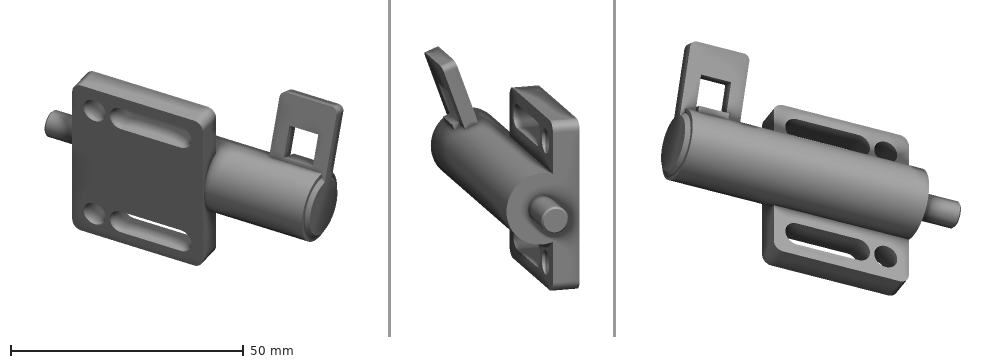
import cadquery as cq


barrel_radius = 8.0
barrel_length = 56.0
plate_length = 32.0
plate_height = 38.0
plate_thickness = 6.0
plate_front_y = -8.5
plate_corner_radius = 2.2
hole_diameter = 5.4
hole_x = 5.5
hole_z = 13.55
slot_start_x = 9.25
slot_end_x = 29.3

pin_radius = 3.0
pin_reach = 10.0
pin_chamfer = 0.4
bolt_end_x = 57.0
core_radius = 7.0
core_chamfer = 0.75

lever_tilt = 20
lever_width = 14.0
lever_thickness = 3.2
lever_tip_height = 23.0
lever_corner_radius = 1.4
lever_start_x = bolt_end_x - lever_width
window_width = 7.1
window_start_x = lever_start_x + (lever_width - window_width) / 2
window_bottom = 8.65
window_height = 7.4
foot_back_y = 3.2


def x_cylinder(radius, start_x, end_x):
    """Cylinder on the bolt axis."""
    return cq.Workplane("YZ", origin=(start_x, 0, 0)).circle(radius).extrude(end_x - start_x)


def box(start, end):
    """Box between two opposite corners."""
    size = [high - low for low, high in zip(start, end)]
    return cq.Workplane("XY").box(*size, centered=False).translate(start)


def tilt(shape):
    """Lean an upright shape about the bolt axis, toward +Y."""
    return shape.rotate((0, 0, 0), (1, 0, 0), -lever_tilt)


def make_lever():
    """Tilted thumb lever with a rectangular window."""
    half_thickness = lever_thickness / 2
    lever = box((lever_start_x, -half_thickness, 0), (bolt_end_x, half_thickness, lever_tip_height))
    lever = lever.faces(">Z").edges("|Y").fillet(lever_corner_radius)
    window = box(
        (window_start_x, -half_thickness, window_bottom),
        (window_start_x + window_width, half_thickness, window_bottom + window_height),
    )
    return tilt(lever.cut(window))


def make_foot():
    """Tilted foot behind the lever root, as wide as the window and level with its bottom."""
    foot = box((window_start_x, 0, 0), (window_start_x + window_width, foot_back_y, window_bottom))
    return tilt(foot)


def make_bolt():
    """Pin, core, lever and foot as one solid."""
    pin = x_cylinder(pin_radius, -pin_reach, lever_start_x).faces("<X").chamfer(pin_chamfer)
    core = x_cylinder(core_radius, lever_start_x, bolt_end_x).faces(">X").chamfer(core_chamfer)
    return pin.union(core).union(make_lever()).union(make_foot())


def make_mounting_plate():
    """Rounded plate with a round hole and a long slot near each of its two long edges."""
    plate = box(
        (0, plate_front_y, -plate_height / 2),
        (plate_length, plate_front_y + plate_thickness, plate_height / 2),
    )
    plate = plate.edges("|Y").fillet(plate_corner_radius)
    slot_middle_x = (slot_start_x + slot_end_x) / 2
    for side in (-1, 1):
        hole = cq.Workplane("XZ", origin=(hole_x, plate_front_y, side * hole_z)).circle(hole_diameter / 2)
        slot = cq.Workplane("XZ", origin=(slot_middle_x, plate_front_y, side * hole_z))
        slot = slot.slot2D(slot_end_x - slot_start_x, hole_diameter)
        plate = plate.cut(hole.extrude(-plate_thickness)).cut(slot.extrude(-plate_thickness))
    return plate


def make_housing(bolt):
    """Plate and barrel, with a bore, core recess and lever slot that fit the bolt."""
    barrel = x_cylinder(barrel_radius, 0, barrel_length)
    return make_mounting_plate().union(barrel).cut(bolt)


bolt = make_bolt()
housing = make_housing(bolt)
result = cq.Compound.makeCompound([housing.val(), bolt.val()])